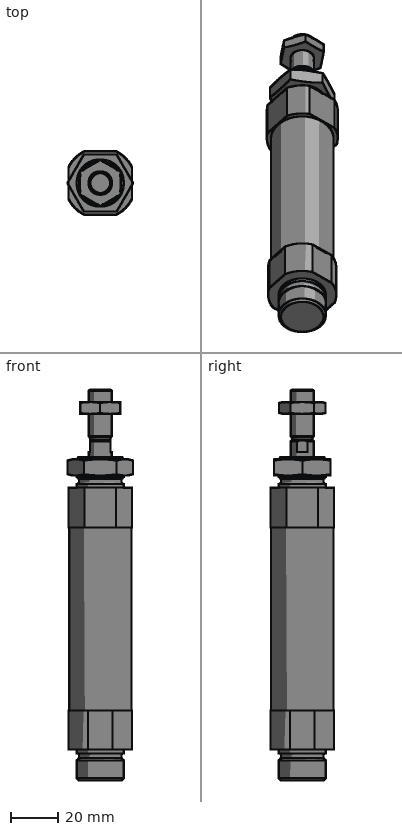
import cadquery as cq
import math

TOTAL_LENGTH = 165.4

TUBE_DIA = 26.5
CAP_WIDTH = 27.0
FRONT_CAP_LENGTH = 16.9
REAR_CAP_LENGTH = 16.5
FRONT_CAP_FLAT = 13.4
REAR_CAP_FLAT = 10.5
REAR_CAP_Z = 13.0
FRONT_CAP_Z = 107.0

BOSS_DIA = 20.0
BOSS_ROOT_DIA = 18.0
BOSS_CHAMFER = 1.0
BOSS_COLLAR = 1.7
BOSS_FILLET = 0.7
BOSS_NECK = 1.3
FRONT_BOSS_LENGTH = 13.0
REAR_BOSS_LENGTH = REAR_CAP_Z
ROD_RECESS_DIA = 14.0
ROD_RECESS_DEPTH = 1.0
LIP_BASE_DIA = 12.7
LIP_TOP_DIA = 10.8
LIP_HEIGHT = 0.7

ROD_DIA = 10
ROD_NECK_DIA = 8.6
ROD_TIP_DIA = 8.5
ROD_CHAMFER = 0.7
ROD_THREAD_LENGTH = 20.3
ROD_NECK = 1.0
ROD_FLATS_WIDTH = 8.8
ROD_FLATS_END = 26.5

MOUNT_NUT_CORNERS = 27.8
MOUNT_NUT_HEIGHT = 7.0
MOUNT_NUT_DROP = 1.0
MOUNT_NUT_FACE_DIA = 23.5
ROD_NUT_CORNERS = 19.7
ROD_NUT_HEIGHT = 5
ROD_NUT_DROP = 5.3
ROD_NUT_FACE_DIA = 16.9
NUT_CHAMFER_ANGLE = 15

FRONT_CAP_TOP = FRONT_CAP_Z + FRONT_CAP_LENGTH
FRONT_BOSS_TOP = FRONT_CAP_TOP + FRONT_BOSS_LENGTH
ROD_BASE = FRONT_BOSS_TOP - ROD_RECESS_DEPTH
MOUNT_NUT_Z = FRONT_BOSS_TOP - MOUNT_NUT_DROP - MOUNT_NUT_HEIGHT
ROD_NUT_Z = TOTAL_LENGTH - ROD_NUT_DROP - ROD_NUT_HEIGHT


def revolve(profile):
    """Turn (radius, height) points around Z, closing the profile on the axis."""
    points = [(0, profile[0][1])] + profile + [(0, profile[-1][1])]
    return cq.Workplane("XZ").polyline(points).close().revolve(360, (0, 0), (0, 1))


def disc(diameter, z, height):
    return cq.Workplane("XY").workplane(offset=z).circle(diameter / 2).extrude(height)


def end_cap(flat_width, z, length):
    """Square prism whose corners are rounded by a cylinder that leaves flats of the given width."""
    corner_dia = math.hypot(CAP_WIDTH, flat_width)
    square = cq.Workplane("XY").workplane(offset=z).rect(CAP_WIDTH, CAP_WIDTH).extrude(length)
    return square.intersect(disc(corner_dia, z, length))


def boss(length):
    """Threaded boss standing on Z = 0: collar, neck with a fillet at the collar, and chamfered thread."""
    outer = BOSS_DIA / 2
    root = BOSS_ROOT_DIA / 2
    neck_start = BOSS_COLLAR + BOSS_FILLET
    neck_end = neck_start + BOSS_NECK
    fillet_end = root + BOSS_FILLET
    arc_offset = BOSS_FILLET * math.sin(math.pi / 4)
    fillet_middle = (fillet_end - arc_offset, neck_start - arc_offset)
    profile = (
        cq.Workplane("XZ")
        .moveTo(0, 0)
        .lineTo(outer, 0)
        .lineTo(outer, BOSS_COLLAR)
        .lineTo(fillet_end, BOSS_COLLAR)
        .threePointArc(fillet_middle, (root, neck_start))
        .lineTo(root, neck_end)
        .lineTo(outer, neck_end + BOSS_CHAMFER)
        .lineTo(outer, length - BOSS_CHAMFER)
        .lineTo(root, length)
        .lineTo(0, length)
        .close()
    )
    return profile.revolve(360, (0, 0), (0, 1))


def make_wiper_lip():
    """Conical lip on the floor of the rod recess that hugs the rod."""
    lip = revolve([
        (LIP_BASE_DIA / 2, ROD_BASE),
        (LIP_TOP_DIA / 2, ROD_BASE + LIP_HEIGHT),
    ])
    return lip.cut(disc(ROD_DIA, ROD_BASE, LIP_HEIGHT))


def make_housing():
    """Tube with both end caps and their bosses."""
    tube_z = REAR_CAP_Z + REAR_CAP_LENGTH
    tube = disc(TUBE_DIA, tube_z, FRONT_CAP_Z - tube_z)
    front_boss = boss(FRONT_BOSS_LENGTH).translate((0, 0, FRONT_CAP_TOP))
    rear_boss = boss(REAR_BOSS_LENGTH).rotate((0, 0, 0), (1, 0, 0), 180).translate((0, 0, REAR_CAP_Z))
    rod_recess = disc(ROD_RECESS_DIA, ROD_BASE, ROD_RECESS_DEPTH)
    return (
        end_cap(REAR_CAP_FLAT, REAR_CAP_Z, REAR_CAP_LENGTH)
        .union(tube)
        .union(end_cap(FRONT_CAP_FLAT, FRONT_CAP_Z, FRONT_CAP_LENGTH))
        .union(front_boss)
        .union(rear_boss)
        .cut(rod_recess)
        .union(make_wiper_lip())
    )


def make_rod():
    """Piston rod with a threaded tip, a neck below the thread and two wrench flats."""
    outer = ROD_DIA / 2
    neck = ROD_NECK_DIA / 2
    thread_z = TOTAL_LENGTH - ROD_THREAD_LENGTH
    neck_z = thread_z - ROD_NECK
    rod = revolve([
        (outer, ROD_BASE),
        (outer, neck_z - ROD_CHAMFER),
        (neck, neck_z),
        (neck, thread_z),
        (outer, thread_z + ROD_CHAMFER),
        (outer, TOTAL_LENGTH - ROD_CHAMFER),
        (ROD_TIP_DIA / 2, TOTAL_LENGTH),
    ])
    flats_z = TOTAL_LENGTH - ROD_FLATS_END
    flats_height = thread_z - flats_z
    for side in (-1, 1):
        cutter = cq.Workplane("XY").box(ROD_DIA, ROD_DIA, flats_height, centered=(True, True, False))
        rod = rod.cut(cutter.translate((side * (ROD_FLATS_WIDTH + ROD_DIA) / 2, 0, flats_z)))
    return rod


def hex_nut(corner_dia, height, face_dia, bore_dia):
    """Hexagon nut with corners on the X axis and conical chamfers at both faces."""
    drop = (corner_dia - face_dia) / 2 * math.tan(math.radians(NUT_CHAMFER_ANGLE))
    cone = revolve([
        (face_dia / 2, 0),
        (corner_dia / 2, drop),
        (corner_dia / 2, height - drop),
        (face_dia / 2, height),
    ])
    prism = cq.Workplane("XY").polygon(6, corner_dia).extrude(height)
    return prism.intersect(cone).cut(disc(bore_dia, 0, height))


def make_mount_nut():
    nut = hex_nut(MOUNT_NUT_CORNERS, MOUNT_NUT_HEIGHT, MOUNT_NUT_FACE_DIA, BOSS_DIA)
    return nut.translate((0, 0, MOUNT_NUT_Z))


def make_rod_nut():
    """Rod nut, turned so that its corners lie on the Y axis."""
    nut = hex_nut(ROD_NUT_CORNERS, ROD_NUT_HEIGHT, ROD_NUT_FACE_DIA, ROD_DIA)
    return nut.rotate((0, 0, 0), (0, 0, 1), 90).translate((0, 0, ROD_NUT_Z))


housing = make_housing()
rod = make_rod()
mount_nut = make_mount_nut()
rod_nut = make_rod_nut()

bodies = [housing, rod, mount_nut, rod_nut]
result = cq.Compound.makeCompound([body.solids().val() for body in bodies])